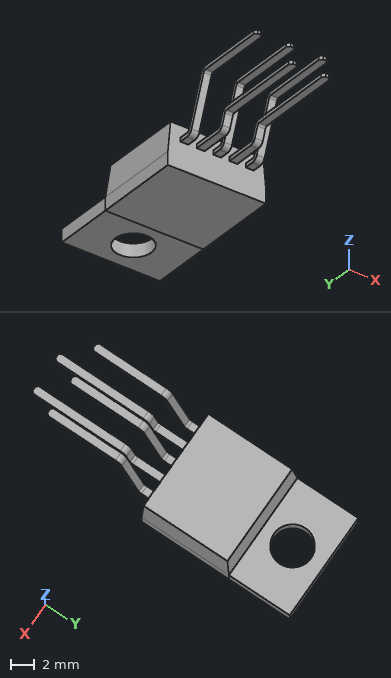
import cadquery as cq
import math


width = 10.2
tab_length = 6.17
tab_thickness = 1.39
hole_diameter = 3.73
hole_to_tab_end = 3.2

housing_length = 8.85
housing_height = 4.45
side_inset = 0.28
back_inset = 0.35

lead_pitch = 1.7
lead_width = 0.82
lead_thickness = 0.4
lead_z = 3.0
bend_angle = math.radians(70)
bend_radius = 0.48
tip_chamfer = 0.25

high_bend_y = -1.27
high_lead_z = 8.37
high_tip_y = -10.6

low_bend_y = -3.3
low_lead_z = 4.65
total_length = 28.28
low_tip_y = housing_length + tab_length - total_length


def make_tab():
    """Flat plate behind the housing with one mounting hole."""
    tab_end_y = housing_length + tab_length
    plate = cq.Workplane("XY").box(width, tab_length, tab_thickness, centered=(True, False, False))
    plate = plate.translate((0, housing_length, 0))
    hole = (
        cq.Workplane("XY")
        .center(0, tab_end_y - hole_to_tab_end)
        .circle(hole_diameter / 2)
        .extrude(tab_thickness)
    )
    return plate.cut(hole)


def make_housing_block():
    """Straight lower block with a drafted upper block; the lead-side face is upright."""
    lower = cq.Workplane("XY").box(width, housing_length, tab_thickness, centered=(True, False, False))
    top_width = width - 2 * side_inset
    top_length = housing_length - back_inset
    upper = (
        cq.Workplane("XY", origin=(0, housing_length / 2, tab_thickness))
        .rect(width, housing_length)
        .workplane(offset=housing_height - tab_thickness)
        .center(0, -back_inset / 2)
        .rect(top_width, top_length)
        .loft(ruled=True)
    )
    return lower.union(upper)


def make_lead(x, bend_y, upper_z, tip_y):
    """Flat strip swept along a line with two rounded bends, chamfered at the tip."""
    tangent = bend_radius * math.tan(bend_angle / 2)
    tangent_y = tangent * math.cos(bend_angle)
    tangent_z = tangent * math.sin(bend_angle)
    upper_bend_y = bend_y - (upper_z - lead_z) / math.tan(bend_angle)
    path = (
        cq.Workplane("YZ", origin=(x, 0, 0))
        .moveTo(0, lead_z)
        .lineTo(bend_y + tangent, lead_z)
        .tangentArcPoint((bend_y - tangent_y, lead_z + tangent_z), relative=False)
        .lineTo(upper_bend_y + tangent_y, upper_z - tangent_z)
        .tangentArcPoint((upper_bend_y - tangent, upper_z), relative=False)
        .lineTo(tip_y, upper_z)
    )
    strip = cq.Workplane("XZ", origin=(x, 0, lead_z)).rect(lead_width, lead_thickness).sweep(path)
    return strip.faces("<Y").edges("|Z").chamfer(tip_chamfer)


def make_housing():
    """Housing block and its leads as one solid."""
    body = make_housing_block()
    for position in (-2, 0, 2):
        body = body.union(make_lead(position * lead_pitch, high_bend_y, high_lead_z, high_tip_y))
    for position in (-1, 1):
        body = body.union(make_lead(position * lead_pitch, low_bend_y, low_lead_z, low_tip_y))
    return body


tab = make_tab()
housing = make_housing()

result = cq.Compound.makeCompound([tab.val(), *housing.solids().vals()])